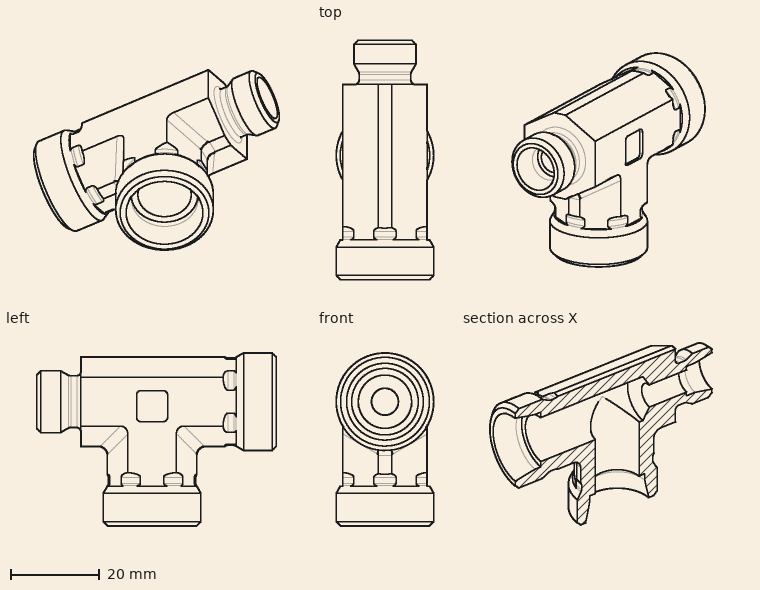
import cadquery as cq
import math


HEX_FLATS = 19.0
HEX_CORNER_ANGLE = 30.0
HEX_EDGE_HALF = HEX_FLATS / 2 * math.tan(math.radians(HEX_CORNER_ANGLE))
HEX_CORNER_HALF = 10.1
HEX_BACK_END = 16.0
COLLAR_START = 19.0
JUNCTION_FILLET = 2.0

LARGE_THREAD = 22.0
LARGE_PORT_END = 28.0
SMALL_THREAD = 14.0
SMALL_PORT_END = 26.0
END_CHAMFER = 1.0

UNDERCUT_START = 16.0
UNDERCUT_END = 20.6
UNDERCUT_DEPTH = 1.15
UNDERCUT_RUNOUT_ANGLE = 30.0
UNDERCUT_FILLET = 1.0

CONE_HALF_ANGLE = 12.0
SOCKET_DEPTH = 7.0
LARGE_TUBE = 15.0
LARGE_MOUTH = 17.3
SMALL_TUBE = 8.0
SMALL_MOUTH = 10.0

LARGE_BORE = 12.0
SMALL_BORE = 6.0
LARGE_BORE_OVERRUN = 7.0
BORE_CONE_HALF_ANGLE = 59.0

RECESS_SIZE = 7.0
RECESS_CORNER = 1.0
RECESS_DEPTH = 0.7
RECESS_DROP = 1.0

CLEARANCE = 1.0
SELECTION_MARGIN = 0.1


def tangent(degrees):
    return math.tan(math.radians(degrees))


def hex_bar(length):
    """Hex bar along +Z from the origin, flats at +X and -X, corners at +Y and -Y cut flat."""
    across_corners = HEX_FLATS / math.cos(math.radians(HEX_CORNER_ANGLE))
    bar = cq.Workplane("XY").polygon(6, across_corners).extrude(length)
    bar = bar.rotate((0, 0, 0), (0, 0, 1), HEX_CORNER_ANGLE)
    corner_trim = cq.Workplane("XY").rect(HEX_FLATS, 2 * HEX_CORNER_HALF).extrude(length)
    return bar.intersect(corner_trim)


def revolve_about_z(profile):
    """Solid of revolution from an open (radius, height) outline."""
    return profile.close().revolve(360, (0, 0, 0), (0, 1, 0))


def collar(diameter, start, end):
    """Thread blank along +Z with a chamfered outer end."""
    blank = cq.Workplane("XY").workplane(offset=start).circle(diameter / 2).extrude(end - start)
    return blank.faces(">Z").chamfer(END_CHAMFER)


def undercut_cutter(thread):
    """Ring that turns the rounded thread undercut into a port along +Z."""
    root = thread / 2 - UNDERCUT_DEPTH
    outside = thread / 2 + CLEARANCE
    fillet = UNDERCUT_FILLET
    diagonal = fillet * math.sqrt(0.5)
    slope = tangent(UNDERCUT_RUNOUT_ANGLE)
    half_bend = math.radians(UNDERCUT_RUNOUT_ANGLE / 2)
    runout_foot = UNDERCUT_END - UNDERCUT_DEPTH / slope
    arc_start = runout_foot - fillet * math.tan(half_bend)

    def runout_arc(angle):
        return root + fillet * (1 - math.cos(angle)), arc_start + fillet * math.sin(angle)

    profile = (
        cq.Workplane("XZ")
        .moveTo(outside, UNDERCUT_START)
        .lineTo(root + fillet, UNDERCUT_START)
        .threePointArc(
            (root + fillet - diagonal, UNDERCUT_START + fillet - diagonal),
            (root, UNDERCUT_START + fillet),
        )
        .lineTo(root, arc_start)
        .threePointArc(runout_arc(half_bend), runout_arc(2 * half_bend))
        .lineTo(outside, UNDERCUT_END + CLEARANCE / slope)
    )
    return revolve_about_z(profile)


def socket_cutter(tube, mouth, bore, port_end):
    """Tube socket in a port along +Z, with its bore running back to the origin."""
    cone_depth = (mouth - tube) / 2 / tangent(CONE_HALF_ANGLE)
    profile = (
        cq.Workplane("XZ")
        .moveTo(0, 0)
        .lineTo(bore / 2, 0)
        .lineTo(bore / 2, port_end - SOCKET_DEPTH)
        .lineTo(tube / 2, port_end - SOCKET_DEPTH)
        .lineTo(tube / 2, port_end - cone_depth)
        .lineTo(mouth / 2, port_end)
        .lineTo(0, port_end)
    )
    return revolve_about_z(profile)


def bore_transition():
    """Large bore carried past the branch, then tapered to the small bore, along +Z."""
    taper_length = (LARGE_BORE - SMALL_BORE) / 2 / tangent(BORE_CONE_HALF_ANGLE)
    taper_end = LARGE_BORE_OVERRUN + taper_length
    profile = (
        cq.Workplane("XZ")
        .moveTo(0, 0)
        .lineTo(LARGE_BORE / 2, 0)
        .lineTo(LARGE_BORE / 2, LARGE_BORE_OVERRUN)
        .lineTo(SMALL_BORE / 2, taper_end)
        .lineTo(0, taper_end)
    )
    return revolve_about_z(profile)


def to_front(shape):
    """Turn a shape built along +Z to point along -Y."""
    return shape.rotate((0, 0, 0), (1, 0, 0), 90)


def to_back(shape):
    """Turn a shape built along +Z to point along +Y."""
    return shape.rotate((0, 0, 0), (1, 0, 0), -90)


def to_branch(shape):
    """Turn a shape built along +Z to point along -Z."""
    return shape.rotate((0, 0, 0), (1, 0, 0), 180)


def hex_body():
    """Crossed hex bars with the two junctions between run and branch blended."""
    run = to_front(hex_bar(COLLAR_START)).union(to_back(hex_bar(HEX_BACK_END)))
    body = run.union(to_branch(hex_bar(COLLAR_START))).clean()
    half_width = HEX_FLATS / 2
    far = HEX_CORNER_HALF + SELECTION_MARGIN
    near = HEX_EDGE_HALF - SELECTION_MARGIN
    front_junction = cq.selectors.BoxSelector((-half_width, -far, -far), (half_width, -near, -near))
    back_junction = cq.selectors.BoxSelector((-half_width, near, -far), (half_width, far, -near))
    return body.edges(front_junction + back_junction).fillet(JUNCTION_FILLET)


def recess():
    """Cutter for the rounded square recess."""
    cutter = cq.Workplane("XY").box(2 * RECESS_DEPTH, RECESS_SIZE, RECESS_SIZE)
    return cutter.edges("|X").fillet(RECESS_CORNER).translate((-HEX_FLATS / 2, 0, -RECESS_DROP))


result = hex_body()

large_collar = collar(LARGE_THREAD, COLLAR_START, LARGE_PORT_END)
large_undercut = undercut_cutter(LARGE_THREAD)
large_socket = socket_cutter(LARGE_TUBE, LARGE_MOUTH, LARGE_BORE, LARGE_PORT_END)
small_collar = collar(SMALL_THREAD, HEX_BACK_END, SMALL_PORT_END)
small_undercut = undercut_cutter(SMALL_THREAD)
small_socket = socket_cutter(SMALL_TUBE, SMALL_MOUTH, SMALL_BORE, SMALL_PORT_END)

for place in (to_front, to_branch):
    result = result.union(place(large_collar)).cut(place(large_undercut))
result = result.union(to_back(small_collar)).cut(to_back(small_undercut))

result = result.cut(to_front(large_socket).union(to_back(bore_transition())))
result = result.cut(to_back(small_socket))
result = result.cut(to_branch(large_socket))

result = result.cut(recess()).solids()